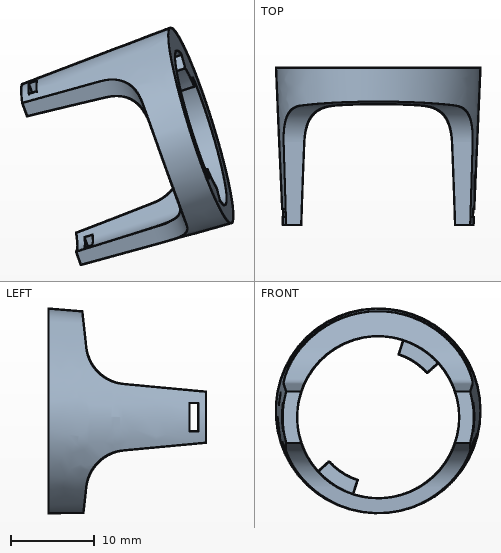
import cadquery as cq
import math

length = 18.85
back_radius = 12.25
front_radius = 11.42
axis_drop = 0.75
bore_radius = 9.68

ring_depth = 4.02
profile_half_height = 13.06
ring_face_slope = 0.11
leg_root_half_height = 4.36
leg_tip_half_height = 3.06
leg_fillet = 4.9

slot_width = 1.0
slot_height = 3.35
slot_tip_gap = 0.95

tab_inner_radius = 7.9
tab_depth = 2.0
tab_start_angle = 42.0
tab_span = 30.0
tab_overlap = 0.5

cut_margin = 1.23
through = 2 * (back_radius + cut_margin)


def tapered_body():
    """Eccentric cone frustum that narrows toward the leg tips."""
    return (
        cq.Workplane("XZ")
        .circle(back_radius)
        .workplane(offset=length)
        .center(0, -axis_drop)
        .circle(front_radius)
        .loft(ruled=True)
    )


def side_profile():
    """Ring with two tapered legs, extruded across the full width."""
    root_depth = ring_depth + ring_face_slope * (profile_half_height - leg_root_half_height)
    upper = [
        (0, profile_half_height),
        (-ring_depth, profile_half_height),
        (-root_depth, leg_root_half_height),
        (-length, leg_tip_half_height),
    ]
    lower = [(y, -z) for y, z in reversed(upper)]
    solid = cq.Workplane("YZ").polyline(upper + lower).close().extrude(through / 2, both=True)
    for side in (1, -1):
        root = (0, -root_depth, side * leg_root_half_height)
        solid = solid.edges(cq.NearestToPointSelector(root)).fillet(leg_fillet)
    return solid.translate((0, 0, -axis_drop))


def bore():
    return cq.Workplane("XZ").center(0, -axis_drop).circle(bore_radius).extrude(length)


def leg_slots():
    slot_y = -length + slot_tip_gap + slot_width / 2
    return cq.Workplane("XY").box(through, slot_width, slot_height).translate((0, slot_y, -axis_drop))


def locking_tab(start_angle):
    """Sector of a flat ring, flush with the back face."""
    outer_radius = bore_radius + tab_overlap

    def point(radius, turn):
        angle = math.radians(start_angle + turn)
        return radius * math.cos(angle), radius * math.sin(angle)

    return (
        cq.Workplane("XZ")
        .center(0, -axis_drop)
        .moveTo(*point(tab_inner_radius, 0))
        .lineTo(*point(outer_radius, 0))
        .threePointArc(point(outer_radius, tab_span / 2), point(outer_radius, tab_span))
        .lineTo(*point(tab_inner_radius, tab_span))
        .threePointArc(point(tab_inner_radius, tab_span / 2), point(tab_inner_radius, 0))
        .close()
        .extrude(tab_depth)
    )


result = tapered_body().intersect(side_profile()).cut(bore()).cut(leg_slots())
for opposite in (0, 180):
    result = result.union(locking_tab(tab_start_angle + opposite))